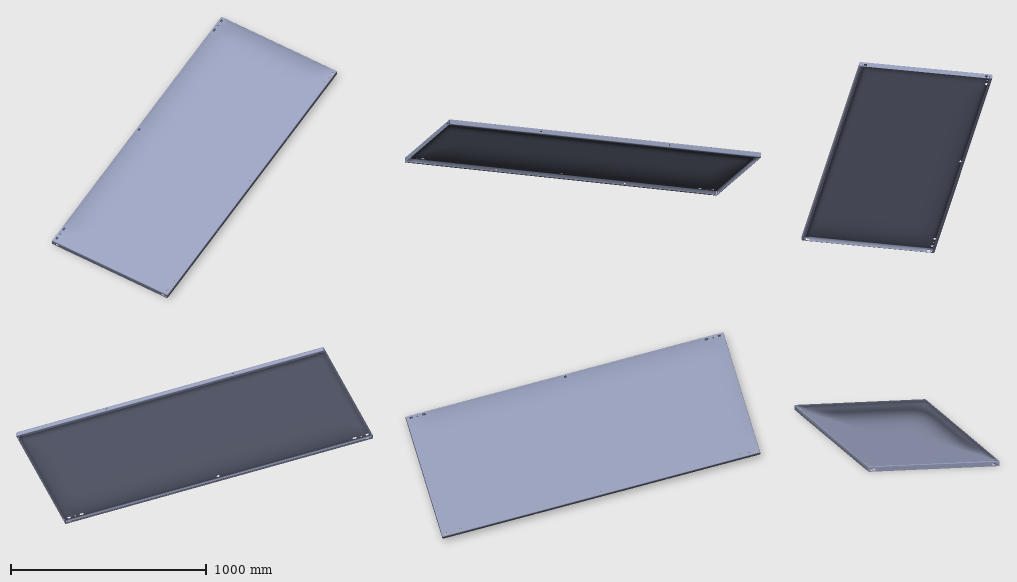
import cadquery as cq

WIDTH = 689.0
LENGTH = 1688.0
HEIGHT = 27.0
SHEET = 2.0
INNER_BEND = 2.0
OUTER_BEND = INNER_BEND + SHEET
LIP_WIDTH = 15.0
CORNER_RELIEF = 2.4

HALF_WIDTH = WIDTH / 2
HALF_LENGTH = LENGTH / 2
HALF_HEIGHT = HEIGHT / 2

ROW_INSET = 15.0
ROW_X = HALF_WIDTH - ROW_INSET
CORNER_SLOT_Y = 819.0
CORNER_SLOT_WIDTH = 11.0
CORNER_SLOT_LENGTH = 16.0
ROUND_HOLE_Y = 785.0
ROUND_HOLE_DIAMETER = 8.0
LONG_SLOT_Y = 750.0
LONG_SLOT_WIDTH = 11.0
LONG_SLOT_LENGTH = 22.0
MIDDLE_SLOT_WIDTH = 12.7
MIDDLE_SLOT_LENGTH = 16.0

END_SLOT_INSET = 30.0
END_SLOT_Z = -2.7
END_SLOT_WIDTH = 15.5
END_SLOT_HEIGHT = 10.8
SIDE_SLOT_Y = 348.0
SIDE_SLOT_Z = -0.3
SIDE_SLOT_WIDTH = 9.3
SIDE_SLOT_HEIGHT = 4.7

EYELET_INSET = 15.0
EYELET_Z = -6.2
EYELET_OUTER_RADIUS = 7.0
EYELET_BORE_RADIUS = 4.0

SIDES = (-1, 1)
EYELET_PLACES = [(x_side, y_side) for x_side in SIDES for y_side in SIDES]


def bent_block(inset, radius):
    """Block inside the envelope by `inset`, rounded along the top edges and the long bottom edges."""
    block = cq.Workplane("XY").box(WIDTH - 2 * inset, LENGTH - 2 * inset, HEIGHT - 2 * inset)
    block = block.edges(">Z").fillet(radius)
    return block.edges("<Z and |Y").fillet(radius)


def make_shell():
    """Tray open at the bottom: four flanges, and a return lip along each long side."""
    opening = cq.Workplane("XY").box(WIDTH - 2 * LIP_WIDTH, LENGTH - 2 * SHEET, HALF_HEIGHT)
    opening = opening.translate((0, 0, -HALF_HEIGHT / 2 - SHEET))
    return bent_block(0, OUTER_BEND).cut(bent_block(SHEET, INNER_BEND)).cut(opening)


def corner_reliefs():
    """Square posts that separate the flanges at the four corners."""
    corners = [(x * HALF_WIDTH, y * HALF_LENGTH) for x in SIDES for y in SIDES]
    posts = cq.Workplane("XY").pushPoints(corners).rect(2 * CORNER_RELIEF, 2 * CORNER_RELIEF)
    return posts.extrude(HEIGHT, both=True)


def row_points(y):
    """The places at distance `y` on both sides of the middle, in both hole rows."""
    return [(x_side * ROW_X, y_side * y) for x_side in SIDES for y_side in SIDES]


def top_sketch(points):
    return cq.Workplane("XY", origin=(0, 0, HALF_HEIGHT - SHEET)).pushPoints(points)


def cut_top_holes(panel):
    """Cut the two hole rows; only the corner slots also go through the lips."""
    corner_slots = cq.Workplane("XY").pushPoints(row_points(CORNER_SLOT_Y))
    corner_slots = corner_slots.rect(CORNER_SLOT_WIDTH, CORNER_SLOT_LENGTH).extrude(HEIGHT, both=True)
    round_holes = top_sketch(row_points(ROUND_HOLE_Y)).circle(ROUND_HOLE_DIAMETER / 2).extrude(SHEET)
    long_slots = top_sketch(row_points(LONG_SLOT_Y))
    long_slots = long_slots.slot2D(LONG_SLOT_LENGTH, LONG_SLOT_WIDTH, 90).extrude(SHEET)
    middle_slots = top_sketch([(-ROW_X, 0), (ROW_X, 0)])
    middle_slots = middle_slots.slot2D(MIDDLE_SLOT_LENGTH, MIDDLE_SLOT_WIDTH, 90).extrude(SHEET)
    return panel.cut(corner_slots).cut(round_holes).cut(long_slots).cut(middle_slots)


def cut_flange_slots(panel):
    """Cut the rectangular openings through both end flanges and both side walls."""
    end_points = [(side * (HALF_WIDTH - END_SLOT_INSET), END_SLOT_Z) for side in SIDES]
    end_slots = cq.Workplane("XZ").pushPoints(end_points).rect(END_SLOT_WIDTH, END_SLOT_HEIGHT)
    side_points = [(side * SIDE_SLOT_Y, SIDE_SLOT_Z) for side in SIDES]
    side_slots = cq.Workplane("YZ").pushPoints(side_points).rect(SIDE_SLOT_WIDTH, SIDE_SLOT_HEIGHT)
    panel = panel.cut(end_slots.extrude(LENGTH, both=True))
    return panel.cut(side_slots.extrude(WIDTH, both=True))


def eyelet_cylinder(x_side, y_side, radius):
    """Cylinder along Y, as long as the sheet is thick, inside one end flange."""
    x = x_side * (HALF_WIDTH - EYELET_INSET)
    y = y_side * (HALF_LENGTH - SHEET / 2)
    flange_middle = cq.Workplane("XZ", origin=(x, y, EYELET_Z))
    return flange_middle.circle(radius).extrude(SHEET / 2, both=True)


def make_panel():
    panel = make_shell().cut(corner_reliefs())
    panel = cut_flange_slots(cut_top_holes(panel))
    for x_side, y_side in EYELET_PLACES:
        panel = panel.cut(eyelet_cylinder(x_side, y_side, EYELET_OUTER_RADIUS))
    return panel


def make_eyelet(x_side, y_side):
    body = eyelet_cylinder(x_side, y_side, EYELET_OUTER_RADIUS)
    return body.cut(eyelet_cylinder(x_side, y_side, EYELET_BORE_RADIUS))


panel = make_panel().solids().val()
eyelets = [make_eyelet(x_side, y_side).solids().val() for x_side, y_side in EYELET_PLACES]

result = cq.Compound.makeCompound([panel, *eyelets])